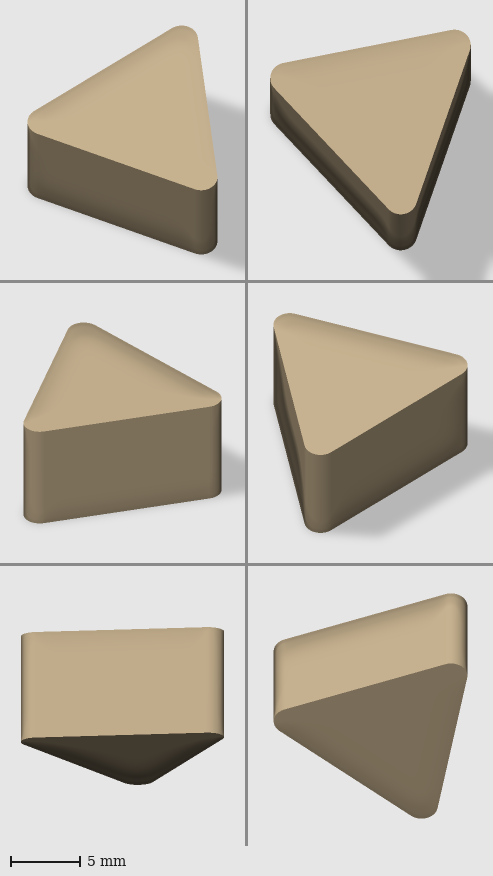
import cadquery as cq
import math

overall_width = 14.75
corner_radius = 1.18
thickness = 7.94

center_spacing = overall_width - 2 * corner_radius
center_circle_radius = center_spacing / math.sqrt(3)

sharp_circle_diameter = 2 * (center_circle_radius + 2 * corner_radius)

result = (
    cq.Workplane("XY")
    .transformed(rotate=(0, 0, 90))
    .polygon(3, sharp_circle_diameter)
    .extrude(thickness)
    .edges("|Z")
    .fillet(corner_radius)
)